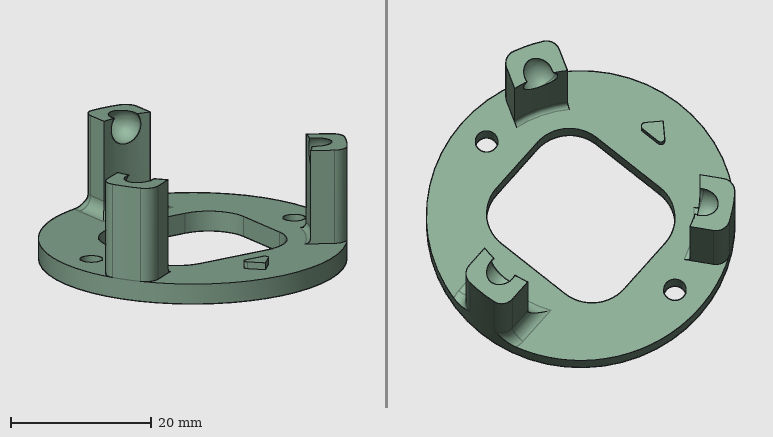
import cadquery as cq
import math

plate_radius = 22.0
plate_thickness = 3.0
total_height = 16.9
window_width = 21.05
window_length = 23.75
window_corner_radius = 6.0
pin_hole_diameter = 3.2
pin_hole_offset = 17.5

post_width = 8.0
post_inner_radius = 17.0
post_corner_radius = 2.0
wide_fillet = 2.0
narrow_fillet = 0.8
wide_post_angle = 180
narrow_post_angle = 60

dimple_radius = 2.55
dimple_mid_depth = 2.85
dimple_mid_radius = 1.65
dimple_depth = 3.8
dimple_tip_radius = 0.25
dimple_height = 15.25
dimple_skew = 8

pointer_base_x = 15.45
pointer_tip_x = 18.25
pointer_height = 1.0
pointer_corner_radius = 0.55

half_width = post_width / 2
post_corner_x = math.sqrt(post_inner_radius**2 - half_width**2)


def make_plate():
    window = (
        cq.Workplane("XY")
        .rect(window_width, window_length)
        .extrude(plate_thickness)
        .edges("|Z")
        .fillet(window_corner_radius)
    )
    return (
        cq.Workplane("XY")
        .circle(plate_radius)
        .extrude(plate_thickness)
        .cut(window)
        .pushPoints([(0, pin_hole_offset), (0, -pin_hole_offset)])
        .circle(pin_hole_diameter / 2)
        .cutThruAll()
    )


def make_post():
    """Upright with a hollow inner face and outer corners rounded into the plate rim."""
    corner_center_y = half_width - post_corner_radius
    corner_center_x = math.sqrt((plate_radius - post_corner_radius) ** 2 - corner_center_y**2)
    rim_scale = plate_radius / (plate_radius - post_corner_radius)
    rim_x = corner_center_x * rim_scale
    rim_y = corner_center_y * rim_scale
    mid_angle = (math.pi / 2 + math.atan2(corner_center_y, corner_center_x)) / 2
    mid_x = corner_center_x + post_corner_radius * math.cos(mid_angle)
    mid_y = corner_center_y + post_corner_radius * math.sin(mid_angle)
    return (
        cq.Workplane("XY")
        .moveTo(post_corner_x, -half_width)
        .lineTo(corner_center_x, -half_width)
        .threePointArc((mid_x, -mid_y), (rim_x, -rim_y))
        .threePointArc((plate_radius, 0), (rim_x, rim_y))
        .threePointArc((mid_x, mid_y), (corner_center_x, half_width))
        .lineTo(post_corner_x, half_width)
        .threePointArc((post_inner_radius, 0), (post_corner_x, -half_width))
        .close()
        .extrude(total_height)
    )


def add_foot(post, fillet_radius, inner_only):
    """Blend the post into a slab of plate that overhangs the rim."""
    slab_inner_x = post_corner_x - 2 * fillet_radius
    slab_width = post_width if inner_only else post_width + 4 * fillet_radius
    slab_outer_x = plate_radius + 2 * fillet_radius
    slab = (
        cq.Workplane("XY")
        .box(slab_outer_x - slab_inner_x, slab_width, plate_thickness, centered=(False, True, False))
        .translate((slab_inner_x, 0, 0))
    )
    search_margin = 0.05
    search_end_x = post_inner_radius + search_margin if inner_only else slab_outer_x
    base_edges = cq.selectors.BoxSelector(
        (post_corner_x - search_margin, -half_width - search_margin, plate_thickness - search_margin),
        (search_end_x, half_width + search_margin, plate_thickness + search_margin),
    )
    return slab.union(post).edges(base_edges).fillet(fillet_radius)


def make_dimple(skew):
    """Bullet-shaped recess: straight mouth, arched flank and a small flat tip."""
    mouth_length = dimple_radius
    return (
        cq.Workplane("XZ")
        .moveTo(-mouth_length, 0)
        .lineTo(-mouth_length, dimple_radius)
        .lineTo(0, dimple_radius)
        .threePointArc((dimple_mid_depth, dimple_mid_radius), (dimple_depth, dimple_tip_radius))
        .lineTo(dimple_depth, 0)
        .close()
        .revolve(360, (0, 0, 0), (1, 0, 0))
        .rotate((0, 0, 0), (0, 0, 1), skew)
        .translate((post_inner_radius, 0, dimple_height))
    )


def make_pointer():
    half_base = pointer_tip_x - pointer_base_x
    return (
        cq.Workplane("XY")
        .polyline([(pointer_base_x, -half_base), (pointer_tip_x, 0), (pointer_base_x, half_base)])
        .close()
        .extrude(plate_thickness + pointer_height)
        .edges("|Z and <X")
        .fillet(pointer_corner_radius)
    )


def place(body, angle):
    return body.rotate((0, 0, 0), (0, 0, 1), angle)


post = make_post()
wide_post = add_foot(post, wide_fillet, inner_only=False).cut(make_dimple(0))
narrow_post = add_foot(post, narrow_fillet, inner_only=True)

result = make_plate().union(make_pointer()).union(place(wide_post, wide_post_angle))
for side in (1, -1):
    side_post = narrow_post.cut(make_dimple(side * dimple_skew))
    result = result.union(place(side_post, side * narrow_post_angle))

rim = cq.Workplane("XY").circle(plate_radius).extrude(total_height)
result = result.intersect(rim)